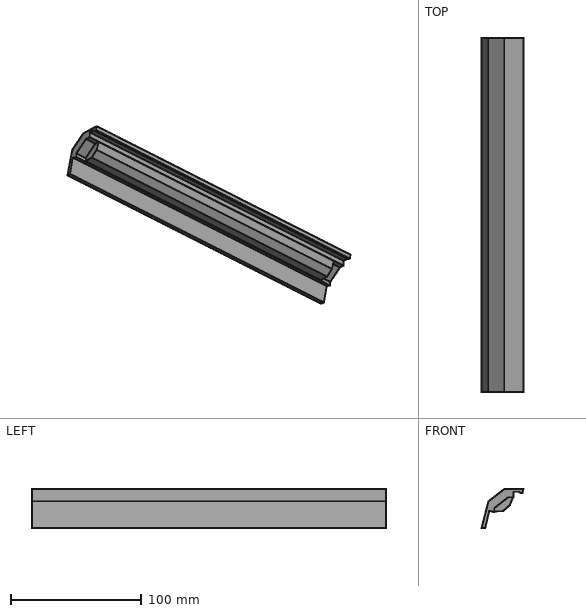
import cadquery as cq

length = 272.5
width = 32.43
height = 30.17

leg_top_x = 5.3
leg_top_z = 20.6
flange_start_x = 17.7
leg_foot_width = 3.0

flange_underside_z = 27.9
lip_bottom_z = 27.0
lip_outer_x = 31.6
lip_inner_x = 30.0
lip_root_x = 28.9

flange_shoulder_x = 24.7
seat_z = 23.7
seat_inner_x = 20.6
leg_shoulder_x = 9.9
leg_shoulder_z = 12.2
seat_lower_z = 15.4
leg_inner_x = 6.1
leg_inner_z = 13.3

rib_setback = 10.0
rib_top_x = 24.3
rib_upper_x = 22.0
rib_upper_z = 17.7
rib_lower_x = 16.7
rib_lower_z = 13.0
rib_foot_z = 12.7
rib_overlap = 1.0


def extrude_along_y(points, start_y, end_y):
    """Extrude an XZ outline from start_y to end_y."""
    outline = cq.Workplane("XZ", origin=(0, start_y, 0)).polyline(points).close()
    return outline.extrude(start_y - end_y)


def make_rail():
    """Full-length bent rail with a thickened, sloped middle."""
    outline = [
        (0, 0),
        (leg_top_x, leg_top_z),
        (flange_start_x, height),
        (width, height),
        (lip_outer_x, lip_bottom_z),
        (lip_inner_x, lip_bottom_z),
        (lip_root_x, flange_underside_z),
        (flange_shoulder_x, flange_underside_z),
        (flange_shoulder_x, seat_z),
        (seat_inner_x, seat_z),
        (leg_shoulder_x, seat_lower_z),
        (leg_shoulder_x, leg_shoulder_z),
        (leg_inner_x, leg_inner_z),
        (leg_foot_width, 0),
    ]
    return extrude_along_y(outline, 0, length)


def make_rib():
    """Inner rib under the seat, sunk slightly into the rail so that they fuse."""
    outline = [
        (rib_top_x, seat_z),
        (rib_upper_x, rib_upper_z),
        (rib_lower_x, rib_lower_z),
        (leg_shoulder_x, rib_foot_z),
        (leg_shoulder_x, seat_lower_z + rib_overlap),
        (seat_inner_x, seat_z + rib_overlap),
        (rib_top_x, seat_z + rib_overlap),
    ]
    return extrude_along_y(outline, rib_setback, length - rib_setback)


result = make_rail().union(make_rib())